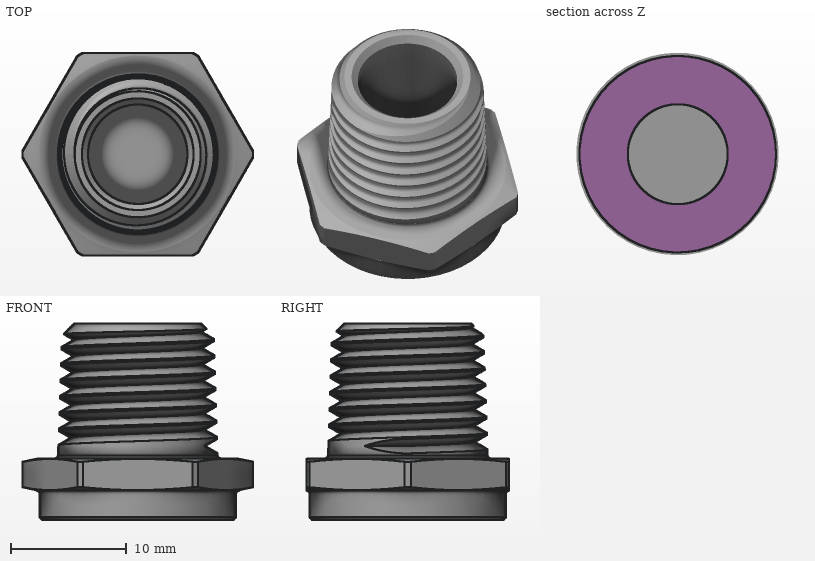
import cadquery as cq
import math

total_height = 17.02
collar_height = 2.55
hex_thickness = 2.8
hex_top = collar_height + hex_thickness

collar_radius = 8.5
collar_chamfer = 0.27
base_fillet = 0.25

across_flats = 17.53
hex_corner_radius = 9.965
hex_face_radius = collar_radius
hex_bevel_drop = 0.3

shank_base_radius = 6.9
taper_per_side = 1 / 32
shank_length = total_height - hex_top
shank_top_radius = shank_base_radius - taper_per_side * shank_length
tip_chamfer = 1.12

pitch = 25.4 / 18
thread_depth = 1.08
flank_slope = math.tan(math.radians(60 / 2))
first_root_height = 6.41
groove_overreach = 0.08

crest_radius = shank_base_radius - taper_per_side * (first_root_height - hex_top)
root_radius = crest_radius - thread_depth
mouth_radius = crest_radius + groove_overreach
half_mouth = (mouth_radius - root_radius) * flank_slope

bore_radius = 4.3
bore_chamfer = 0.53
disc_thickness = collar_height

full_turn = 360


def turned(points):
    """Solid of revolution about Z from a closed outline of (radius, height) points."""
    return cq.Workplane("XZ").polyline(points).close().revolve(full_turn, (0, 0, 0), (0, 1, 0))


def flared_root(radius, face_height, direction):
    """Ring with a quarter-round fillet where a round part meets the hexagon face."""
    inner = radius - base_fillet
    return (
        cq.Workplane("XZ")
        .moveTo(inner, face_height)
        .lineTo(radius + base_fillet, face_height)
        .radiusArc(
            (radius, face_height + direction * base_fillet),
            direction * base_fillet,
        )
        .lineTo(inner, face_height + direction * base_fillet)
        .close()
        .revolve(full_turn, (0, 0, 0), (0, 1, 0))
    )


def collar():
    cylinder = cq.Workplane("XY").circle(collar_radius).extrude(collar_height)
    return cylinder.faces("<Z").chamfer(collar_chamfer)


def hexagon():
    corner_distance = across_flats / math.cos(math.radians(30))
    prism = (
        cq.Workplane("XY", origin=(0, 0, collar_height))
        .polygon(6, corner_distance)
        .extrude(hex_thickness)
    )
    bevelled_disc = turned([
        (0, collar_height),
        (hex_face_radius, collar_height),
        (hex_corner_radius, collar_height + hex_bevel_drop),
        (hex_corner_radius, hex_top - hex_bevel_drop),
        (hex_face_radius, hex_top),
        (0, hex_top),
    ])
    return prism.intersect(bevelled_disc)


def shank():
    chamfer_height = total_height - tip_chamfer
    chamfer_radius = shank_top_radius + taper_per_side * tip_chamfer
    return turned([
        (0, hex_top),
        (shank_base_radius, hex_top),
        (chamfer_radius, chamfer_height),
        (chamfer_radius - tip_chamfer, total_height),
        (0, total_height),
    ])


def thread_groove():
    """Tapered helical V cutter, from the +X side up past the tip of the shank."""
    turns = math.ceil((total_height - first_root_height + half_mouth) / pitch)
    rise = turns * pitch
    taper_angle = -math.degrees(math.atan(taper_per_side))

    def helix(radius, height):
        path = cq.Wire.makeHelix(pitch, rise, radius, angle=taper_angle)
        return path.translate(cq.Vector(0, 0, height))

    root = helix(root_radius, first_root_height)
    lower = helix(mouth_radius, first_root_height - half_mouth)
    upper = helix(mouth_radius, first_root_height + half_mouth)
    sides = [
        cq.Face.makeRuledSurface(root, lower),
        cq.Face.makeRuledSurface(lower, upper),
        cq.Face.makeRuledSurface(upper, root),
    ]

    def end_face(position):
        corners = [wire.positionAt(position) for wire in (root, lower, upper)]
        return cq.Face.makeFromWires(cq.Wire.makePolygon(corners, close=True))

    shell = cq.Shell.makeShell([*sides, end_face(0), end_face(1)])
    return cq.Workplane(cq.Solid.makeSolid(shell))


def groove_run_out():
    """Straight V cutter that leaves the shank towards -Y where the helix starts."""
    return (
        cq.Workplane("XZ")
        .polyline([
            (root_radius, first_root_height),
            (mouth_radius, first_root_height - half_mouth),
            (mouth_radius, first_root_height + half_mouth),
        ])
        .close()
        .extrude(crest_radius)
    )


def bore():
    chamfer_start = total_height - bore_chamfer
    return turned([
        (0, 0),
        (bore_radius, 0),
        (bore_radius, chamfer_start),
        (bore_radius + bore_chamfer, total_height),
        (0, total_height),
    ])


def fitting_body():
    blank = shank().rotate((0, 0, 0), (0, 0, 1), 180)
    threaded_shank = blank.cut(thread_groove()).cut(groove_run_out())
    return (
        hexagon()
        .union(collar())
        .union(flared_root(collar_radius, collar_height, -1))
        .union(flared_root(shank_base_radius, hex_top, 1))
        .union(threaded_shank)
        .cut(bore())
    )


def closing_disc():
    return cq.Workplane("XY").circle(bore_radius).extrude(disc_thickness)


fitting = fitting_body()
disc = closing_disc()

result = cq.Compound.makeCompound([fitting.val(), disc.val()])